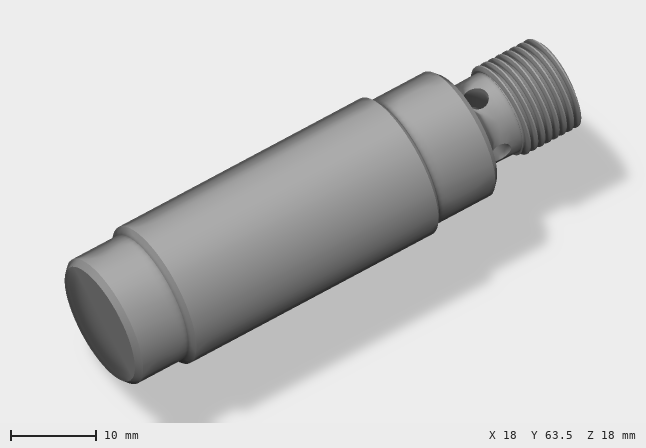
import cadquery as cq
import math

LENGTH = 63.5
BODY_DIAMETER = 18.0
END_DIAMETER = 16.4
FRONT_CHAMFER = 0.7
REAR_CHAMFER = 0.75
BODY_CHAMFER_LENGTH = 0.65
FRONT_END_LENGTH = 7.0
BODY_END = 42.05
SHOULDER = 50.6

CORE_DIAMETER = 10.55
NECK_DIAMETER = 10.3
NECK_REAR_DIAMETER = 10.4
NECK_FILLET = 1.15
THREAD_DIAMETER = 11.8
THREAD_LENGTH = 7.95
THREAD_PITCH = 1.0
THREAD_BASE_WIDTH = 0.75
THREAD_CREST_WIDTH = 0.2
THREAD_EMBED = 0.1
THREAD_TURNS = 9
LAST_CREST_SETBACK = 0.25

CROSS_HOLE_DIAMETER = 3.0
CROSS_HOLE_SETBACK = 11.0


def make_body():
    """Revolve the stepped body, neck and thread core about Y."""
    body_r = BODY_DIAMETER / 2
    end_r = END_DIAMETER / 2
    neck_r = NECK_DIAMETER / 2
    core_r = CORE_DIAMETER / 2
    arc_inset = NECK_FILLET * (1 - math.sqrt(0.5))
    return (
        cq.Workplane("XY")
        .lineTo(end_r - FRONT_CHAMFER, 0)
        .lineTo(end_r, FRONT_CHAMFER)
        .lineTo(end_r, FRONT_END_LENGTH)
        .lineTo(body_r, FRONT_END_LENGTH + BODY_CHAMFER_LENGTH)
        .lineTo(body_r, BODY_END - BODY_CHAMFER_LENGTH)
        .lineTo(end_r, BODY_END)
        .lineTo(end_r, SHOULDER - REAR_CHAMFER)
        .lineTo(end_r - REAR_CHAMFER, SHOULDER)
        .lineTo(neck_r + NECK_FILLET, SHOULDER)
        .threePointArc(
            (neck_r + arc_inset, SHOULDER + arc_inset),
            (neck_r, SHOULDER + NECK_FILLET),
        )
        .lineTo(NECK_REAR_DIAMETER / 2, LENGTH - THREAD_LENGTH)
        .lineTo(core_r, LENGTH - THREAD_LENGTH)
        .lineTo(core_r, LENGTH)
        .lineTo(0, LENGTH)
        .close()
        .revolve(360, (0, 0), (0, 1))
    )


def make_thread():
    """Sweep a right-hand ridge and trim it flat at both ends of the thread."""
    inner_r = CORE_DIAMETER / 2 - THREAD_EMBED
    outer_r = THREAD_DIAMETER / 2
    half_base = THREAD_BASE_WIDTH / 2
    half_crest = THREAD_CREST_WIDTH / 2
    start = LENGTH - LAST_CREST_SETBACK - (THREAD_TURNS - 1) * THREAD_PITCH
    helix = cq.Wire.makeHelix(THREAD_PITCH, THREAD_TURNS * THREAD_PITCH, inner_r)
    ridge = (
        cq.Workplane("XZ")
        .polyline([
            (inner_r, -half_base),
            (outer_r, -half_crest),
            (outer_r, half_crest),
            (inner_r, half_base),
        ])
        .close()
        .sweep(cq.Workplane(obj=helix), isFrenet=True)
        .rotate((0, 0, 0), (1, 0, 0), -90)
        .translate((0, start, 0))
    )
    envelope = (
        cq.Workplane("XZ", origin=(0, LENGTH, 0))
        .circle(THREAD_DIAMETER)
        .extrude(THREAD_LENGTH)
    )
    return ridge.intersect(envelope)


def make_cross_hole(plane):
    """Hole straight through the neck, normal to the given plane."""
    return (
        cq.Workplane(plane, origin=(0, LENGTH - CROSS_HOLE_SETBACK, 0))
        .circle(CROSS_HOLE_DIAMETER / 2)
        .extrude(BODY_DIAMETER, both=True)
    )


result = make_body().union(make_thread())
for hole_plane in ("XY", "YZ"):
    result = result.cut(make_cross_hole(hole_plane))